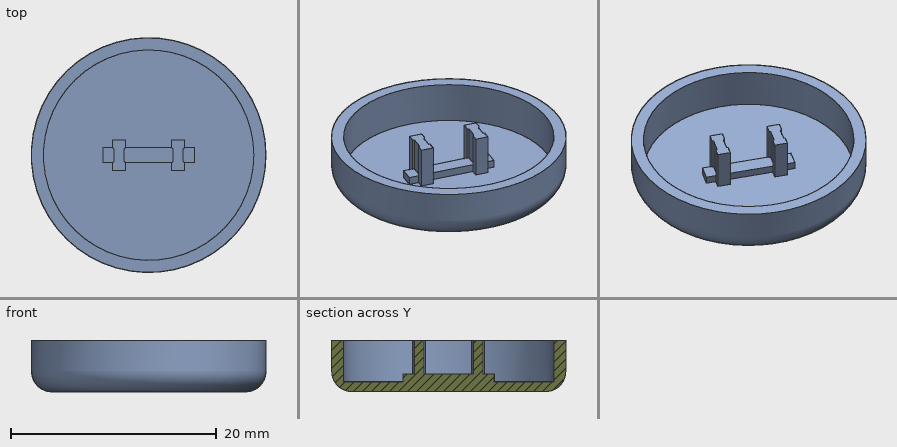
import cadquery as cq

outer_diameter = 22.8
inner_diameter = 20.43
cup_height = 5.0
floor_thickness = 1.0
bottom_fillet = 2.0

bar_length = 8.87
bar_width = 1.45
bar_height = 0.75

post_spacing = 5.72
post_thickness = 1.25
post_width = 2.96
post_height = cup_height - floor_thickness

groove_depth = 0.148
groove_mouth_width = bar_width
groove_bottom_width = groove_mouth_width - 2 * groove_depth


def make_cup():
    body = cq.Workplane("XY").circle(outer_diameter / 2).extrude(cup_height)
    body = body.faces("<Z").edges().fillet(bottom_fillet)
    cavity = (
        cq.Workplane("XY")
        .workplane(offset=floor_thickness)
        .circle(inner_diameter / 2)
        .extrude(cup_height - floor_thickness)
    )
    return body.cut(cavity)


def make_bar():
    return (
        cq.Workplane("XY")
        .workplane(offset=floor_thickness)
        .rect(bar_length, bar_width)
        .extrude(bar_height)
    )


def make_post(center_x):
    face = post_thickness / 2
    waist = face - groove_depth
    end = post_width / 2
    mouth = groove_mouth_width / 2
    bottom = groove_bottom_width / 2
    right_side = [
        (face, -end),
        (face, -mouth),
        (waist, -bottom),
        (waist, bottom),
        (face, mouth),
        (face, end),
    ]
    left_side = [(-x, y) for x, y in reversed(right_side)]
    return (
        cq.Workplane("XY")
        .workplane(offset=floor_thickness)
        .polyline(right_side + left_side)
        .close()
        .extrude(post_height)
        .translate((center_x, 0, 0))
    )


result = make_cup().union(make_bar())
for side in (-1, 1):
    result = result.union(make_post(side * post_spacing / 2))